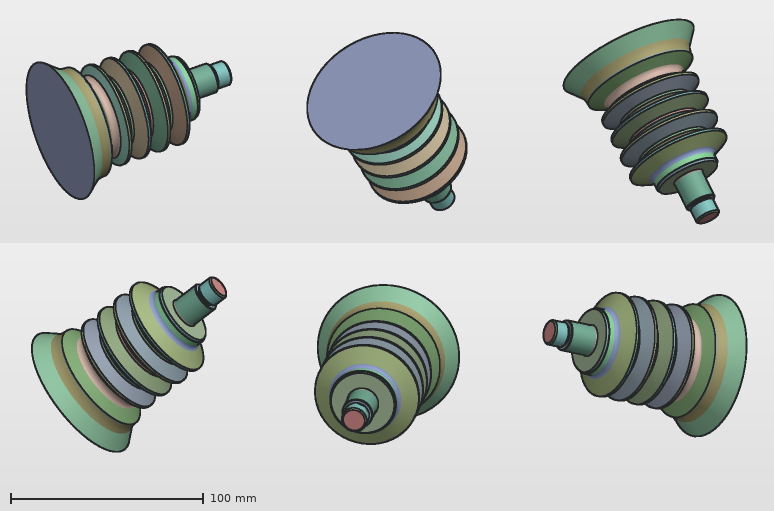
import cadquery as cq


total_length = 98.0

lip_radius = 37.5
lip_cone_end = 7.9
lip_cone_end_radius = 31.4
flare_middle = 10.6
flare_middle_radius = 30.4
collar_radius = 30.0
collar_start = 13.6
collar_end = 14.5

neck_start = 18.4
neck_end = 23.5
neck_edge_radius = 22.8
neck_radius = 21.7

fold_count = 4
crest_radius = 27.5
root_radius = 19.5
flat_width = 1.5
flank_length = 4.2
fold_pitch = 2 * (flank_length + flat_width)
first_crest = 25.95

sleeve_radius = 17.5
sleeve_start = 68.75
sleeve_end = 71.9
shoulder_start = 66.2
shoulder_radius = 19.1
shoulder_middle = 67.4
shoulder_middle_radius = 17.85

plate_radius = 17.05
plate_end = 73.4
plate_end_radius = 16.7
plate_middle = 72.7
plate_middle_radius = 16.96

stem_radius = 8.0
stem_base_radius = 8.35
stem_base_middle = 73.75
stem_base_middle_radius = 8.12
stem_base_end = 74.3
stem_end = 88.95
stem_chamfer_length = 0.4
stem_chamfer_depth = 0.3

undercut_root_radius = 11.45 / 2
undercut_outer_radius = 6.0
thread_start = 90.0
thread_radius = 13.16 / 2
thread_tip_radius = 11.45 / 2
thread_chamfer_length = thread_radius - thread_tip_radius


def add_lip(profile):
    """Cone, concave flare and short collar of the lip."""
    return (
        profile.lineTo(lip_radius, 0)
        .lineTo(lip_cone_end_radius, lip_cone_end)
        .threePointArc((flare_middle_radius, flare_middle), (collar_radius, collar_start))
        .lineTo(collar_radius, collar_end)
    )


def add_neck(profile):
    """Cone above the lip and the concave neck below the first fold."""
    return profile.lineTo(neck_edge_radius, neck_start).threePointArc(
        (neck_radius, (neck_start + neck_end) / 2), (neck_edge_radius, neck_end)
    )


def add_bellows(profile):
    """Equal folds: a land on each crest and a land on each root between crests."""
    for fold in range(fold_count):
        crest = first_crest + fold * fold_pitch
        if fold > 0:
            root_end = crest - flank_length
            profile = profile.lineTo(root_radius, root_end - flat_width).lineTo(root_radius, root_end)
        profile = profile.lineTo(crest_radius, crest).lineTo(crest_radius, crest + flat_width)
    return profile


def add_sleeve(profile):
    """Shoulder flare, cylindrical sleeve and end plate."""
    return (
        profile.lineTo(shoulder_radius, shoulder_start)
        .threePointArc((shoulder_middle_radius, shoulder_middle), (sleeve_radius, sleeve_start))
        .lineTo(sleeve_radius, sleeve_end)
        .lineTo(plate_radius, sleeve_end)
        .threePointArc((plate_middle_radius, plate_middle), (plate_end_radius, plate_end))
    )


def add_stem(profile):
    """Stem with a flared foot, tapered undercut and chamfered thread cylinder."""
    return (
        profile.lineTo(stem_base_radius, plate_end)
        .threePointArc((stem_base_middle_radius, stem_base_middle), (stem_radius, stem_base_end))
        .lineTo(stem_radius, stem_end - stem_chamfer_length)
        .lineTo(stem_radius - stem_chamfer_depth, stem_end)
        .lineTo(undercut_root_radius, stem_end)
        .lineTo(undercut_outer_radius, thread_start)
        .lineTo(thread_radius, thread_start)
        .lineTo(thread_radius, total_length - thread_chamfer_length)
        .lineTo(thread_tip_radius, total_length)
        .lineTo(0, total_length)
    )


profile = cq.Workplane("XY").moveTo(0, 0)
for add_section in (add_lip, add_neck, add_bellows, add_sleeve, add_stem):
    profile = add_section(profile)

result = profile.close().revolve(360, (0, 0, 0), (0, 1, 0))